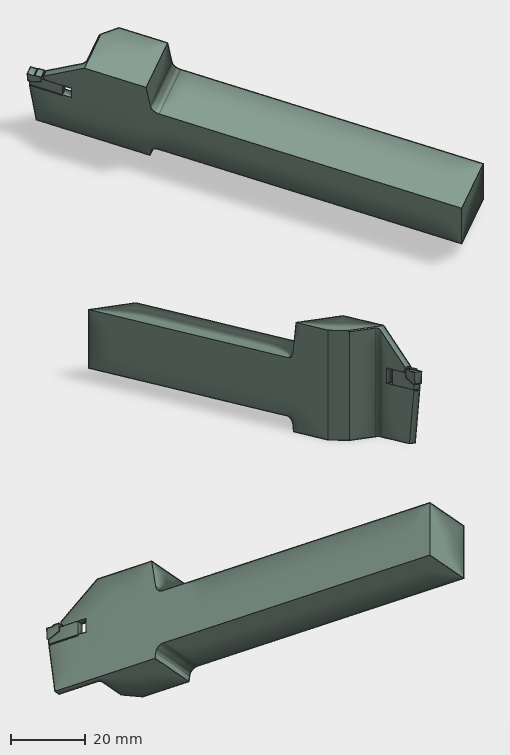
import cadquery as cq

length = 125.0
shank_size = 16.0
shank_bottom = 3.9
shank_top = shank_bottom + shank_size
head_height = 30.0
head_base_front = 2.5
head_base_back = 35.2
head_top_front = 16.4
head_top_back = 34.1
neck_x = 35.8
neck_radius = 2.5

blade_thickness = 2.0
shoulder_x = 16.0
shoulder_fillet = 1.0
shoulder_chamfer = 4.1

jaw_tip_x = 4.5
jaw_tip_top = 20.6
jaw_tip_bottom = 20.0
jaw_lip_x = 5.0

slot_floor = 15.0
slot_roof = 19.1
slot_end = 12.6
relief_depth = 0.4
relief_width = 1.4

blade_middle = blade_thickness / 2
insert_end = 10.0
insert_base_front = 0.5
tip_bottom = 16.8
tip_top = shank_top
tip_heel_x = 0.5
tip_heel_z = 16.4
cutter_back = 4.0
cutter_back_bottom = 17.9
cutter_top = 20.2
chip_step_start = 1.9
chip_step_end = 2.2
cutter_width = 2.5
cutter_narrow_width = 2.1


def side_profile(points, thickness):
    """Extrude an XZ outline from the working face y = 0 toward +Y."""
    return cq.Workplane("XZ").polyline(points).close().extrude(-thickness)


def box_between(x_range, y_range, z_range):
    lows, highs = zip(x_range, y_range, z_range)
    sizes = [high - low for low, high in zip(lows, highs)]
    return cq.Workplane("XY").box(*sizes, centered=False).translate(lows)


def plan_limit():
    """Full-height plan: thin blade, filleted shoulder and chamfered back corner."""
    return (
        cq.Workplane("XY")
        .lineTo(length, 0)
        .lineTo(length, shank_size)
        .lineTo(shoulder_x + shoulder_chamfer, shank_size)
        .lineTo(shoulder_x, shank_size - shoulder_chamfer)
        .lineTo(shoulder_x, blade_thickness + shoulder_fillet)
        .radiusArc((shoulder_x - shoulder_fillet, blade_thickness), shoulder_fillet)
        .lineTo(0, blade_thickness)
        .close()
        .extrude(head_height)
    )


def make_holder():
    outline = [
        (head_base_front, 0),
        (head_base_back, 0),
        (neck_x, shank_bottom),
        (length, shank_bottom),
        (length, shank_top),
        (neck_x, shank_top),
        (head_top_back, head_height),
        (head_top_front, head_height),
        (jaw_tip_x, jaw_tip_top),
        (jaw_tip_x, jaw_tip_bottom),
        (jaw_lip_x, slot_roof),
        (slot_end, slot_roof),
        (slot_end, slot_floor),
        (insert_base_front, slot_floor),
    ]
    body = side_profile(outline, shank_size)
    for neck_z in (shank_bottom, shank_top):
        corner = cq.selectors.NearestToPointSelector((neck_x, shank_size / 2, neck_z))
        body = body.edges("|Y").edges(corner).fillet(neck_radius)
    relief = box_between(
        (0, insert_end), (0, relief_width), (slot_floor - relief_depth, slot_floor)
    )
    return body.intersect(plan_limit()).cut(relief)


def make_insert():
    base_outline = [
        (insert_base_front, slot_floor),
        (insert_end, slot_floor),
        (insert_end, slot_roof),
        (cutter_back, slot_roof),
        (tip_heel_x, tip_heel_z),
    ]
    cutter_outline = [
        (0, tip_bottom),
        (tip_heel_x, tip_heel_z),
        (cutter_back, cutter_back_bottom),
        (cutter_back, cutter_top),
        (chip_step_end, cutter_top),
        (chip_step_start, tip_top),
        (0, tip_top),
    ]
    base = side_profile(base_outline, blade_thickness)
    side_taper = (
        cq.Workplane("YZ")
        .polyline([
            (blade_middle - cutter_width / 2, cutter_top),
            (blade_middle - cutter_width / 2, tip_top),
            (blade_middle - cutter_narrow_width / 2, tip_heel_z),
            (blade_middle + cutter_narrow_width / 2, tip_heel_z),
            (blade_middle + cutter_width / 2, tip_top),
            (blade_middle + cutter_width / 2, cutter_top),
        ])
        .close()
        .extrude(cutter_back)
    )
    cutter = side_profile(cutter_outline, 2 * cutter_width).translate(
        (0, blade_middle - cutter_width, 0)
    )
    return base.union(cutter.intersect(side_taper))


holder = make_holder()
insert = make_insert()
result = cq.Compound.makeCompound([holder.solids().val(), insert.solids().val()])